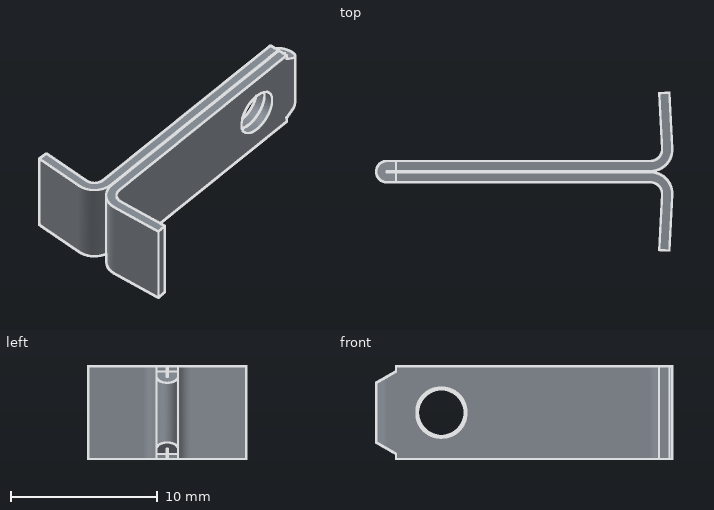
import cadquery as cq
import math

LENGTH = 20.21
SPAN = 10.79
HEIGHT = 6.35

SHEET = 0.71
GAP = 0.05
INNER_FACE = GAP / 2
OUTER_FACE = INNER_FACE + SHEET

BEND_OUTER_RADIUS = 1.50
BEND_INNER_RADIUS = BEND_OUTER_RADIUS - SHEET
OVERBEND = math.radians(3)

HOLE_X = 4.45
FRONT_HOLE_DIAMETER = 3.43
BACK_HOLE_DIAMETER = 3.18

NOSE_LENGTH = 1.35
SHOULDER_HEIGHT = 0.36
NOSE_TAPER = math.radians(30)


def half_strip():
    """Leg, bend and flange on the +Y side, with half of the folded nose."""
    bend_x = LENGTH - BEND_OUTER_RADIUS
    bend_y = INNER_FACE + BEND_OUTER_RADIUS

    def on_bend(radius, angle):
        return (bend_x + radius * math.cos(angle), bend_y + radius * math.sin(angle))

    def on_nose(radius, angle):
        return (OUTER_FACE + radius * math.cos(angle), radius * math.sin(angle))

    bend_middle = (OVERBEND - math.pi / 2) / 2
    nose_middle = 3 * math.pi / 4
    outer_bend_end = on_bend(BEND_OUTER_RADIUS, OVERBEND)
    inner_bend_end = on_bend(BEND_INNER_RADIUS, OVERBEND)

    flange_length = (SPAN / 2 - outer_bend_end[1]) / math.cos(OVERBEND)
    run_x = -flange_length * math.sin(OVERBEND)
    run_y = flange_length * math.cos(OVERBEND)
    outer_tip = (outer_bend_end[0] + run_x, outer_bend_end[1] + run_y)
    inner_tip = (inner_bend_end[0] + run_x, inner_bend_end[1] + run_y)

    return (
        cq.Workplane("XY")
        .workplane(offset=-HEIGHT / 2)
        .moveTo(0, 0)
        .threePointArc(on_nose(OUTER_FACE, nose_middle), (OUTER_FACE, OUTER_FACE))
        .lineTo(bend_x, OUTER_FACE)
        .threePointArc(on_bend(BEND_INNER_RADIUS, bend_middle), inner_bend_end)
        .lineTo(*inner_tip)
        .lineTo(*outer_tip)
        .lineTo(*outer_bend_end)
        .threePointArc(on_bend(BEND_OUTER_RADIUS, bend_middle), (bend_x, INNER_FACE))
        .lineTo(OUTER_FACE, INNER_FACE)
        .threePointArc(on_nose(INNER_FACE, nose_middle), (OUTER_FACE - INNER_FACE, 0))
        .close()
        .extrude(HEIGHT)
    )


def leg_hole(diameter, side):
    """Cutter reaching from the middle of the gap out through one leg; side is +1 or -1 along Y."""
    return (
        cq.Workplane("XZ")
        .center(HOLE_X, 0)
        .circle(diameter / 2)
        .extrude(-side * OUTER_FACE)
    )


def nose_corner():
    """Cutter for the upper corner of the nose, leaving the taper and the shoulder."""
    top = HEIGHT / 2
    shoulder_z = top - SHOULDER_HEIGHT
    tip_z = shoulder_z - NOSE_LENGTH * math.tan(NOSE_TAPER)
    return (
        cq.Workplane("XZ")
        .polyline([(0, top), (NOSE_LENGTH, top), (NOSE_LENGTH, shoulder_z), (0, tip_z)])
        .close()
        .extrude(OUTER_FACE, both=True)
    )


back_half = half_strip()
result = back_half.union(back_half.mirror("XZ"))
result = result.cut(leg_hole(FRONT_HOLE_DIAMETER, -1))
result = result.cut(leg_hole(BACK_HOLE_DIAMETER, 1))
upper_corner = nose_corner()
result = result.cut(upper_corner).cut(upper_corner.mirror("XY"))